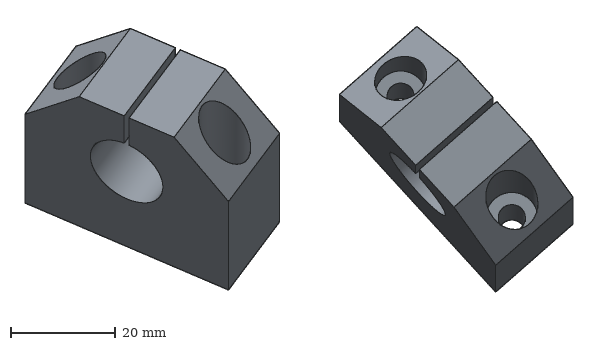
import cadquery as cq

length = 45.0
depth = 20.0
height = 38.0
corner_chamfer = 12.0

bore_diameter = 16.0
bore_height = 22.0
slit_width = 1.1

hole_spacing = 32.0
hole_diameter = 5.2
counterbore_diameter = 10.0
counterbore_floor = 15.0


def make_block():
    """Rectangular block with its two long top edges chamfered."""
    block = cq.Workplane("XY").box(length, depth, height, centered=(True, True, False))
    return block.faces(">Z").edges("|Y").chamfer(corner_chamfer)


def make_bore():
    """Cylinder through the full depth of the block."""
    return (
        cq.Workplane("XZ")
        .center(0, bore_height)
        .circle(bore_diameter / 2)
        .extrude(depth / 2, both=True)
    )


def make_slit():
    """Narrow gap from the bore axis up through the top face."""
    slit = cq.Workplane("XY").box(
        slit_width, depth, height - bore_height, centered=(True, True, False)
    )
    return slit.translate((0, 0, bore_height))


def make_mounting_hole(x):
    """Through hole with a flat-bottomed counterbore open to the chamfer."""
    hole = cq.Workplane("XY").center(x, 0).circle(hole_diameter / 2).extrude(height)
    counterbore = (
        cq.Workplane("XY", origin=(x, 0, counterbore_floor))
        .circle(counterbore_diameter / 2)
        .extrude(height - counterbore_floor)
    )
    return hole.union(counterbore)


result = make_block().cut(make_bore()).cut(make_slit())
for side in (-1, 1):
    result = result.cut(make_mounting_hole(side * hole_spacing / 2))